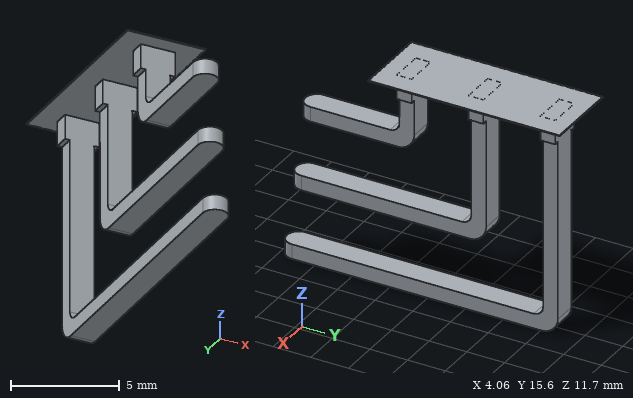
import cadquery as cq


pin_count = 3
pin_pitch = 3.81

plate_width = 4.06
plate_length = 10.16
plate_thickness = 0.05

pin_width = 1.27
pin_thickness = 0.79
bend_inner_radius = 0.51
bend_outer_radius = 0.89
tip_radius = pin_width / 2

head_width = 1.78
head_height = 1.27

tip_setback = 0.49
total_length = 15.62
total_height = 11.65
longest_tip_y = plate_length / 2 - total_length
longest_depth = total_height - plate_thickness

longest_pin_y = pin_pitch * (pin_count - 1) / 2


def make_plate():
    return cq.Workplane("XY").box(
        plate_width, plate_length, plate_thickness, centered=(True, True, False)
    )


def make_pin(center_y, tip_y, depth):
    """L-shaped pin: leg down from the plate, bend, arm towards -Y with a full-round tip."""
    back_y = center_y + pin_thickness / 2
    front_y = center_y - pin_thickness / 2
    arm_top_z = pin_thickness - depth

    pin = (
        cq.Workplane("YZ")
        .moveTo(back_y, 0)
        .lineTo(back_y, bend_outer_radius - depth)
        .radiusArc((back_y - bend_outer_radius, -depth), bend_outer_radius)
        .lineTo(tip_y, -depth)
        .lineTo(tip_y, arm_top_z)
        .lineTo(front_y - bend_inner_radius, arm_top_z)
        .radiusArc((front_y, arm_top_z + bend_inner_radius), -bend_inner_radius)
        .lineTo(front_y, 0)
        .close()
        .extrude(pin_width / 2, both=True)
    )

    plan_outline = (
        cq.Workplane("XY")
        .workplane(offset=-depth)
        .moveTo(-tip_radius, back_y)
        .lineTo(-tip_radius, tip_y + tip_radius)
        .threePointArc((0, tip_y), (tip_radius, tip_y + tip_radius))
        .lineTo(tip_radius, back_y)
        .close()
        .extrude(depth)
    )
    return pin.intersect(plan_outline)


def make_head(center_y):
    return (
        cq.Workplane("XY")
        .center(0, center_y)
        .rect(head_width, pin_thickness)
        .extrude(-head_height)
    )


result = make_plate()
for index in range(pin_count):
    pin_y = longest_pin_y - index * pin_pitch
    pin_tip_y = longest_tip_y + index * tip_setback
    pin_depth = longest_depth - index * pin_pitch
    result = result.union(make_pin(pin_y, pin_tip_y, pin_depth))
    result = result.union(make_head(pin_y))